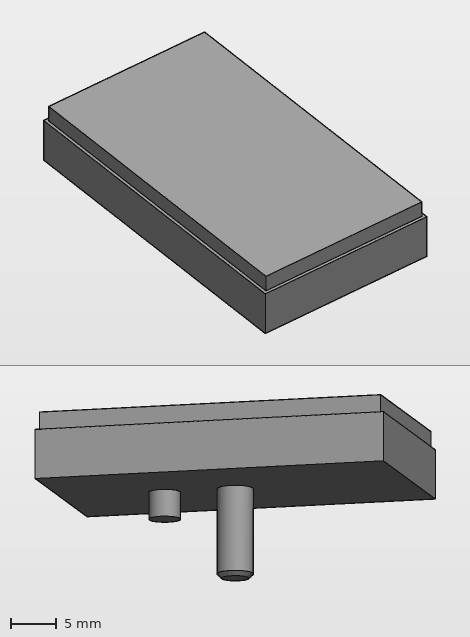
import cadquery as cq

base_length = 39.5
base_width = 22.5
base_height = 5.5

plate_inset = 0.4
plate_height = 2.0

stud_diameter = 4.0
stud_length = 10.0
stud_chamfer = 0.49

pin_diameter = 3.5
pin_length = 3.0
pin_offset_x = 8.0


def make_base():
    """Block with its underside on Z = 0."""
    return cq.Workplane("XY").box(base_length, base_width, base_height, centered=(True, True, False))


def make_plate():
    """Slightly smaller plate resting on the base."""
    length = base_length - 2 * plate_inset
    width = base_width - 2 * plate_inset
    plane = cq.Workplane("XY").workplane(offset=base_height)
    return plane.box(length, width, plate_height, centered=(True, True, False))


def make_stud():
    """Cylinder hanging from the centre of the underside."""
    stud = cq.Workplane("XY").circle(stud_diameter / 2).extrude(-stud_length)
    return stud.faces("<Z").chamfer(stud_chamfer)


def make_pin():
    """Short cylinder hanging from the underside, offset along X."""
    return cq.Workplane("XY").center(pin_offset_x, 0).circle(pin_diameter / 2).extrude(-pin_length)


result = make_base().union(make_plate()).union(make_stud()).union(make_pin())